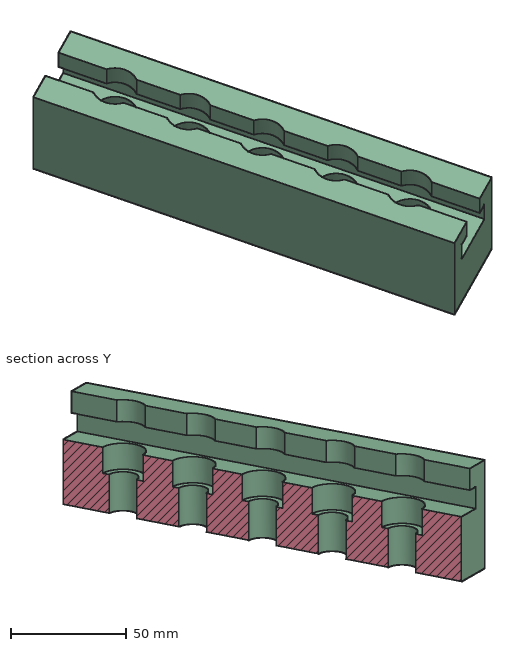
import cadquery as cq

length = 200
width = 40
height = 50

neck_width = 14
neck_depth = 10
channel_width = 24
slot_depth = 20

hole_count = 5
hole_pitch = 35.0
hole_diameter = 13.5
counterbore_diameter = 20
counterbore_depth = 32


def slot_cut(cut_width, top, bottom):
    """Full-length rectangular cut between two heights."""
    return (
        cq.Workplane("XY")
        .workplane(offset=bottom)
        .rect(length, cut_width)
        .extrude(top - bottom)
    )


bar = cq.Workplane("XY").box(length, width, height, centered=(True, True, False))

neck_bottom = height - neck_depth
neck = slot_cut(neck_width, height, neck_bottom)
channel = slot_cut(channel_width, neck_bottom, height - slot_depth)
slotted_bar = bar.cut(neck).cut(channel)

result = (
    slotted_bar.copyWorkplane(cq.Workplane("XY", origin=(0, 0, height)))
    .rarray(hole_pitch, 2, hole_count, 1)
    .cboreHole(hole_diameter, counterbore_diameter, counterbore_depth)
)